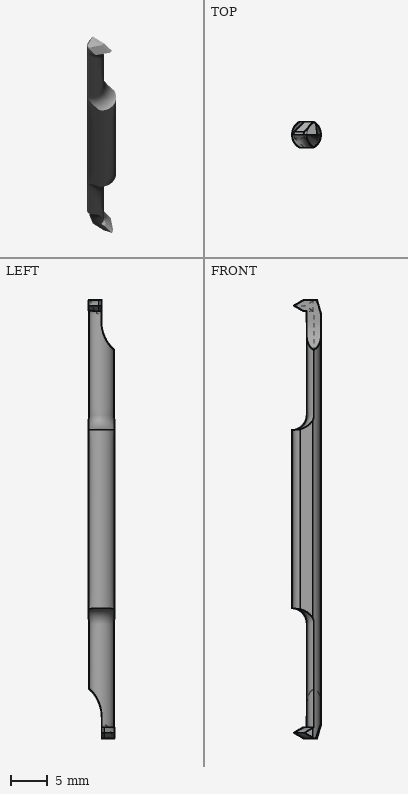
import cadquery as cq
import math


length = 60.0
shank_diameter = 4.0
shank_thickness = 3.6
shank_radius = shank_diameter / 2
half_length = length / 2
half_thickness = shank_thickness / 2

neck_start = 12.2
neck_blend_radius = 2.0
neck_radius = 2.0
neck_axis_x = shank_radius
neck_end = neck_start + neck_blend_radius

cutting_face_start = 27.0
runout_radius = 5.1

tip_x = -1.75
tip_z = 29.21
flank_angle = 30.0
underside_z = 28.45

land_depth = 0.4
land_angle = 10.0
relief_angle = 45.0

back_top_x = 1.45
back_start_z = 28.1
back_clearance_angle = 7.0

margin = 1.0


def tangent(angle):
    return math.tan(math.radians(angle))


def bar_blank():
    """Upper half of the round bar with its two opposite flats."""
    flats = cq.Workplane("XY").box(
        shank_diameter, shank_thickness, half_length, centered=(True, True, False)
    )
    return cq.Workplane("XY").circle(shank_radius).extrude(half_length).intersect(flats)


def neck_envelope():
    """Column about the neck axis that flares through an arc to clear the whole shank."""
    outer_radius = 2 * shank_diameter
    flare_radius = neck_radius + neck_blend_radius
    arc_offset = neck_blend_radius * math.sqrt(0.5)
    profile = (
        cq.Workplane("XZ")
        .lineTo(outer_radius, 0)
        .lineTo(outer_radius, neck_start)
        .lineTo(flare_radius, neck_start)
        .threePointArc(
            (flare_radius - arc_offset, neck_end - arc_offset),
            (neck_radius, neck_end),
        )
        .lineTo(neck_radius, half_length)
        .lineTo(0, half_length)
        .close()
    )
    return profile.revolve(360, (0, 0, 0), (0, 1, 0)).translate((neck_axis_x, 0, 0))


def tapered_along_y(outline, depth, shift):
    """Solid from y = 0 to depth whose outline moves by shift along X on the way."""
    start = cq.Workplane("XZ").polyline(outline(0)).close()
    end = start.workplane(offset=-depth).polyline(outline(shift)).close()
    return end.loft(ruled=True)


def head_outline(shift):
    """Outline of the hooked tip with its cutting flanks moved by shift."""
    flank_slope = tangent(flank_angle)
    top_x = tip_x + (half_length - tip_z) / flank_slope
    underside_x = tip_x + (tip_z - underside_z) / flank_slope
    return [
        (tip_x + shift, tip_z),
        (top_x + shift, half_length),
        (shank_radius + margin, half_length),
        (shank_radius + margin, underside_z),
        (underside_x + shift, underside_z),
    ]


def head_envelope():
    """Space for the cutting head: the land followed by the relief."""
    land_shift = land_depth * tangent(land_angle)
    relief_depth = half_thickness - land_depth
    relief_shift = relief_depth * tangent(relief_angle)
    land = tapered_along_y(head_outline, land_depth, land_shift)
    relief = tapered_along_y(
        lambda shift: head_outline(land_shift + shift), relief_depth, relief_shift
    ).translate((0, land_depth, 0))
    return land.union(relief)


def cutting_face_cutter():
    """Clears the bar in front of the middle plane down to the cutting face."""
    depth = shank_radius
    runout_angle = math.acos(1 - depth / runout_radius)

    def runout_point(angle):
        y = -runout_radius * (1 - math.cos(angle))
        z = cutting_face_start - runout_radius * math.sin(angle)
        return y, z

    profile = (
        cq.Workplane("YZ")
        .moveTo(0, half_length)
        .lineTo(0, cutting_face_start)
        .threePointArc(runout_point(runout_angle / 2), runout_point(runout_angle))
        .lineTo(-depth, half_length)
        .close()
    )
    return profile.extrude(shank_radius, both=True)


def back_outline(shift):
    """Outline of the space behind the head's sloped back."""
    lean = (shank_radius - back_top_x) / (half_length - back_start_z)
    outer_x = shank_radius + margin
    return [
        (back_top_x + shift, half_length),
        (outer_x + shift, half_length - (outer_x - back_top_x) / lean),
        (outer_x + shift, half_length),
    ]


def back_cutter():
    """Slopes the back of the head inwards, towards its end and away from the cutting face."""
    back_shift = -shank_radius * tangent(back_clearance_angle)
    return tapered_along_y(back_outline, shank_radius, back_shift)


def half_bar():
    """Upper half of the tool, from the middle of the shank to the cutting head."""
    envelope = neck_envelope().union(head_envelope())
    return bar_blank().intersect(envelope).cut(cutting_face_cutter()).cut(back_cutter())


upper_half = half_bar()
lower_half = upper_half.rotate((0, 0, 0), (1, 0, 0), 180)
boring_bar = upper_half.union(lower_half).clean()

result = cq.Compound.makeCompound([boring_bar.val()])